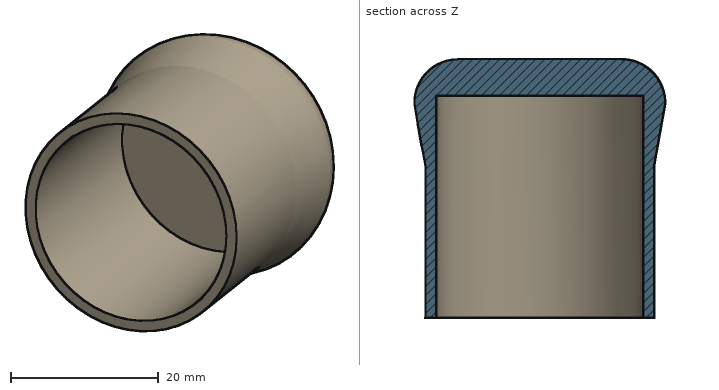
import cadquery as cq
import math

length = 35.0
head_radius = 17.0
tube_radius = 15.5
bore_radius = 14.0
bore_depth = 30.0

tube_length = 20.6
crown_radius = 6.0
crown_start = length - crown_radius
crown_flat_radius = head_radius - crown_radius

crown_mid_offset = crown_radius * math.sin(math.radians(45))
crown_mid = (crown_flat_radius + crown_mid_offset, crown_start + crown_mid_offset)

body = (
    cq.Workplane("XY")
    .lineTo(tube_radius, 0)
    .lineTo(tube_radius, tube_length)
    .lineTo(head_radius, crown_start)
    .threePointArc(crown_mid, (crown_flat_radius, length))
    .lineTo(0, length)
    .close()
    .revolve(360, (0, 0, 0), (0, 1, 0))
)

bore = cq.Workplane("XZ").circle(bore_radius).extrude(-bore_depth)

result = body.cut(bore)